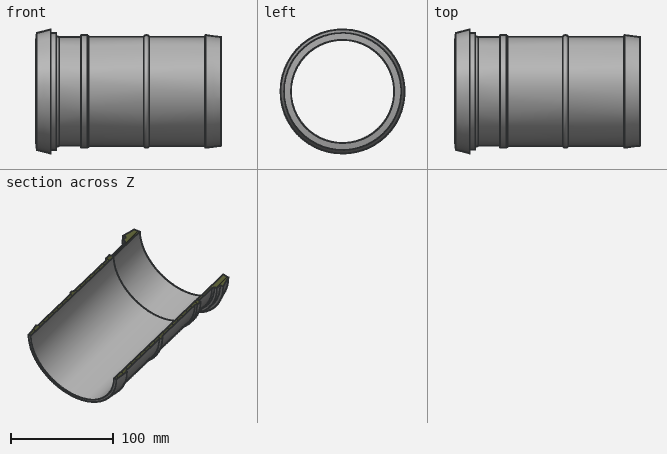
import cadquery as cq

LENGTH = 180.0
RIM_TAPER = 0.7
BAND_FACE_TAPER = 0.4
CONE_END = 14.4
COLLAR_END = 20.0
COLLAR_TAPER_END = 22.5
JOINT = 43.5
BAND_END = 49.7
BAND_TAPER_END = 51.5
BEAD_CENTER = 107.5
BEAD_HALF_WIDTH = 2.5
BARB_START = 164.2
BARB_CREST = 165.0

CONE_SMALL_DIAMETER = 114.0
CONE_LARGE_DIAMETER = 121.0
COLLAR_DIAMETER = CONE_SMALL_DIAMETER
COLLAR_TAPER_DIAMETER = 108.0
NECK_DIAMETER = 106.0
TUBE_DIAMETER = 107.0
TUBE_BORE_DIAMETER = 100.0
NECK_BORE_DIAMETER = 100.5
RIDGE_DIAMETER = 110.0
BARB_END_DIAMETER = 106.0

X_AXIS_START = (0, 0)
X_AXIS_END = (1, 0)


def revolve_about_x(profile):
    """Close a half section drawn as (x, radius) and spin it about the X axis."""
    return profile.close().revolve(360, X_AXIS_START, X_AXIS_END)


def make_coned_end():
    """Socket end: conical rim, collar and plain neck that butts against the tube."""
    profile = (
        cq.Workplane("XY")
        .moveTo(0, NECK_BORE_DIAMETER / 2)
        .lineTo(RIM_TAPER, CONE_SMALL_DIAMETER / 2)
        .lineTo(CONE_END, CONE_LARGE_DIAMETER / 2)
        .lineTo(CONE_END, COLLAR_DIAMETER / 2)
        .lineTo(COLLAR_END, COLLAR_DIAMETER / 2)
        .lineTo(COLLAR_END, COLLAR_TAPER_DIAMETER / 2)
        .lineTo(COLLAR_TAPER_END, NECK_DIAMETER / 2)
        .lineTo(JOINT, NECK_DIAMETER / 2)
        .lineTo(JOINT, NECK_BORE_DIAMETER / 2)
    )
    return revolve_about_x(profile)


def make_hose_tail():
    """Hose tube: end band with tapered back, rounded bead and tapered barb."""
    tube_radius = TUBE_DIAMETER / 2
    ridge_radius = RIDGE_DIAMETER / 2
    profile = (
        cq.Workplane("XY")
        .moveTo(JOINT, TUBE_BORE_DIAMETER / 2)
        .lineTo(JOINT, NECK_DIAMETER / 2)
        .lineTo(JOINT + BAND_FACE_TAPER, ridge_radius)
        .lineTo(BAND_END, ridge_radius)
        .lineTo(BAND_TAPER_END, tube_radius)
        .lineTo(BEAD_CENTER - BEAD_HALF_WIDTH, tube_radius)
        .threePointArc((BEAD_CENTER, ridge_radius), (BEAD_CENTER + BEAD_HALF_WIDTH, tube_radius))
        .lineTo(BARB_START, tube_radius)
        .lineTo(BARB_CREST, ridge_radius)
        .lineTo(LENGTH, BARB_END_DIAMETER / 2)
        .lineTo(LENGTH, TUBE_BORE_DIAMETER / 2)
    )
    return revolve_about_x(profile)


coned_end = make_coned_end()
hose_tail = make_hose_tail()
result = cq.Compound.makeCompound([coned_end.val(), hose_tail.val()])